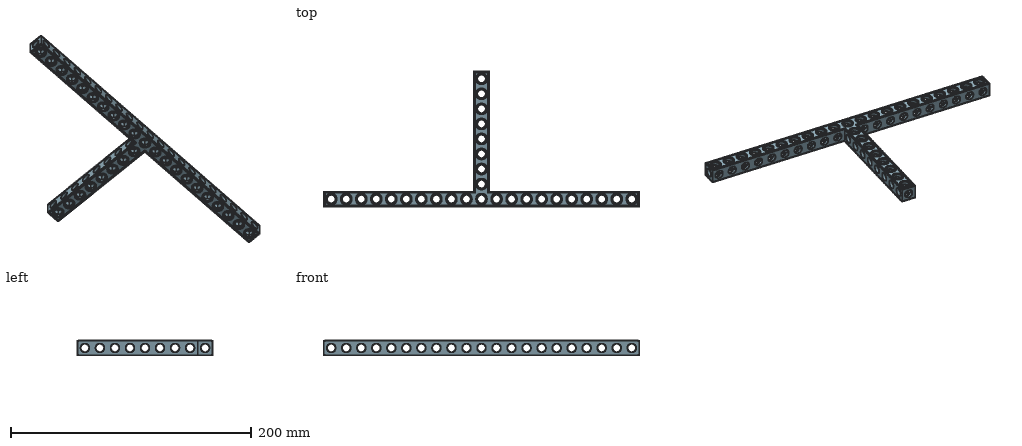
import cadquery as cq

pitch = 12.5
bar_cells = 21
stem_cells = 8
hole_diameter = 7.0
rim_diameter = 9.2
relief_depth = 0.3

half = pitch / 2
bar_length = bar_cells * pitch
stem_length = stem_cells * pitch
edge_inset = (rim_diameter - hole_diameter) / 2

bar_hole_xs = [(i - (bar_cells - 1) / 2) * pitch for i in range(bar_cells)]
stem_hole_ys = [(i + 1) * pitch for i in range(stem_cells)]
vertical_centers = [(x, 0) for x in bar_hole_xs] + [(0, y) for y in stem_hole_ys]
x_hole_centers = [(y, 0) for y in [0] + stem_hole_ys]
y_hole_centers = [(x, 0) for x in bar_hole_xs]


def tee_slab(inset, height):
    """T-shaped slab centred on Z = 0, its outline pulled inward by inset on every side."""
    bar = cq.Workplane("XY").box(bar_length - 2 * inset, pitch - 2 * inset, height)
    stem = cq.Workplane("XY").box(pitch - 2 * inset, stem_length, height)
    stem = stem.translate((0, half - inset + stem_length / 2, 0))
    return bar.union(stem)


def stepped_body():
    """Full-outline core with a narrower slab standing out of it at the top and the bottom."""
    core = tee_slab(0, pitch - 2 * relief_depth)
    return core.union(tee_slab(edge_inset, pitch))


def rods(plane, centers, diameter, start, length):
    """Parallel cylinders along a plane's normal, from the start offset onward."""
    workplane = cq.Workplane(plane).workplane(offset=start)
    return workplane.pushPoints(centers).circle(diameter / 2).extrude(length)


def cut_vertical_holes(body):
    """Z holes through bar and stem, counterbored at both faces."""
    body = body.cut(rods("XY", vertical_centers, hole_diameter, -half, pitch))
    for start in (-half, half - relief_depth):
        body = body.cut(rods("XY", vertical_centers, rim_diameter, start, relief_depth))
    return body


def cut_horizontal_holes(body):
    """Y holes across the bar (the middle one runs along the stem) and X holes across the stem
    (the first one runs along the bar)."""
    along_y = rods("XZ", y_hole_centers, hole_diameter, -half - stem_length, stem_length + pitch)
    along_x = rods("YZ", x_hole_centers, hole_diameter, -bar_length / 2, bar_length)
    return body.cut(along_y).cut(along_x)


result = cut_horizontal_holes(cut_vertical_holes(stepped_body()))